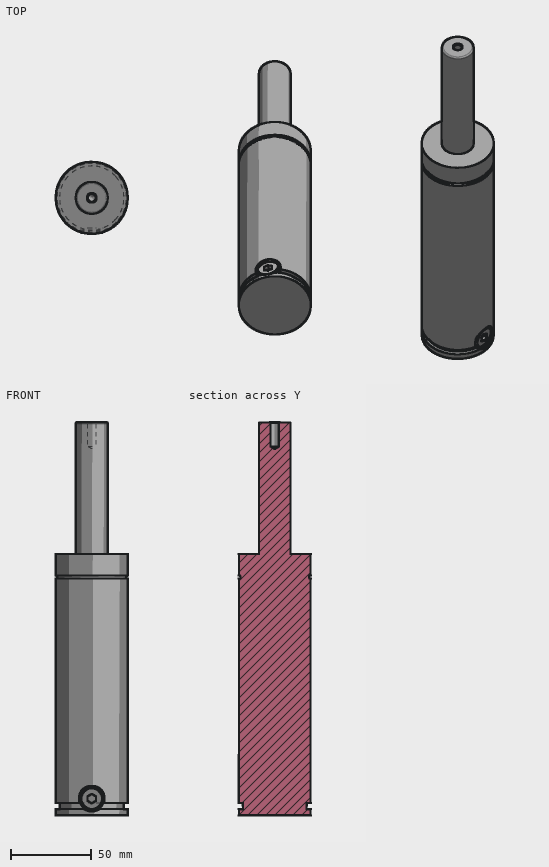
import cadquery as cq
import math

total_height = 245.0
body_diameter = 45.0
body_height = 163.0
rod_diameter = 20.0
rod_edge_radius = 1.0

base_flange_height = 4.0
base_groove_top = 7.7
base_groove_depth = 2.5

cap_height = 13.5
ring_groove_width = 2.0

rod_hole_diameter = 5.0
rod_hole_countersink_diameter = 6.0
rod_hole_depth = 15.0
drill_point_angle = 118.0

plug_height = 10.5
plug_diameter = 15.0
plug_face_diameter = 13.0
plug_pocket_diameter = 16.0
plug_pocket_depth = 2.5
plug_face_inset = 0.75
plug_length = 6.0
socket_across_flats = 5.0
socket_depth = 3.0
socket_turn = 90.0

body_radius = body_diameter / 2
rod_radius = rod_diameter / 2


def make_body_and_rod():
    """Revolve the stepped outline of the body and the rod about Z."""
    groove_end = body_height - cap_height
    groove_start = groove_end - ring_groove_width
    groove_radius = ring_groove_width / 2
    return (
        cq.Workplane("XZ")
        .lineTo(body_radius, 0)
        .lineTo(body_radius, base_flange_height)
        .lineTo(body_radius - base_groove_depth, base_flange_height)
        .lineTo(body_radius - base_groove_depth, base_groove_top)
        .lineTo(body_radius, base_groove_top)
        .lineTo(body_radius, groove_start)
        .threePointArc((body_radius - groove_radius, groove_start + groove_radius), (body_radius, groove_end))
        .lineTo(body_radius, body_height)
        .lineTo(rod_radius, body_height)
        .lineTo(rod_radius, total_height - rod_edge_radius)
        .radiusArc((rod_radius - rod_edge_radius, total_height), -rod_edge_radius)
        .lineTo(0, total_height)
        .close()
        .revolve(360, (0, 0, 0), (0, 1, 0))
    )


def make_rod_hole():
    """Revolve the countersink, bore and drill point of the hole in the rod end."""
    hole_radius = rod_hole_diameter / 2
    countersink_radius = rod_hole_countersink_diameter / 2
    countersink_depth = countersink_radius - hole_radius
    bore_end = total_height - rod_hole_depth
    drill_point_length = hole_radius / math.tan(math.radians(drill_point_angle / 2))
    return (
        cq.Workplane("XZ")
        .moveTo(0, total_height)
        .lineTo(countersink_radius, total_height)
        .lineTo(hole_radius, total_height - countersink_depth)
        .lineTo(hole_radius, bore_end)
        .lineTo(0, bore_end - drill_point_length)
        .close()
        .revolve(360, (0, 0, 0), (0, 1, 0))
    )


def plug_plane():
    """Plane of the plug face, with its normal along -Y."""
    return cq.Workplane("XZ", origin=(0, plug_face_inset - body_radius, plug_height))


def make_plug():
    """Plug with a chamfered outer face; its inner end is buried in the body."""
    chamfer = (plug_diameter - plug_face_diameter) / 2
    return plug_plane().circle(plug_diameter / 2).extrude(-plug_length).faces("<Y").chamfer(chamfer)


def make_plug_socket():
    """Hexagon socket in the plug face, with corners pointing up and down."""
    socket_across_corners = socket_across_flats / math.cos(math.pi / 6)
    return (
        plug_plane().transformed(rotate=(0, 0, socket_turn))
        .polygon(6, socket_across_corners)
        .extrude(-socket_depth)
    )


def make_plug_pocket():
    """Round pocket around the plug, measured in depth from the body surface."""
    return (
        plug_plane().workplane(offset=plug_face_inset)
        .circle(plug_pocket_diameter / 2)
        .extrude(-plug_pocket_depth)
    )


body = make_body_and_rod().cut(make_rod_hole()).cut(make_plug_pocket())
result = body.union(make_plug()).cut(make_plug_socket())